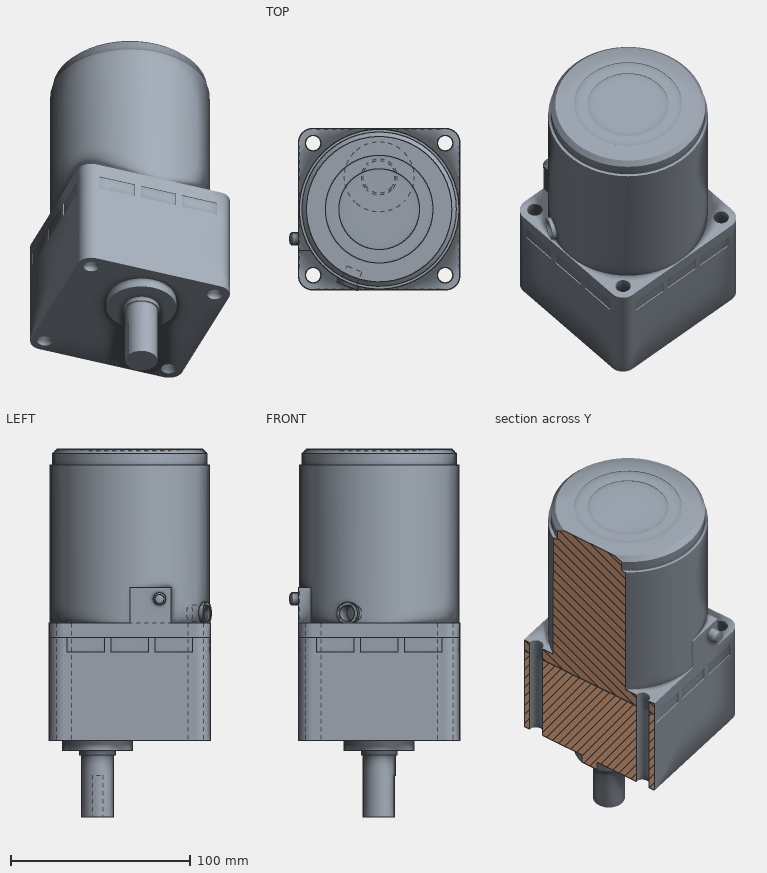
import cadquery as cq
import math

FRAME = 90.0
CORNER_RADIUS = 8.0
HALF_FRAME = FRAME / 2
GEARHEAD_HEIGHT = 57.5

HOLE_DIAMETER = 8.5
HOLE_CIRCLE = 104.0
HOLE_SPACING = HOLE_CIRCLE / math.sqrt(2)

WINDOW_WIDTH = 21.0
WINDOW_HEIGHT = 8.0
WINDOW_DEPTH = 0.5
WINDOW_PITCH = 24.5
WINDOWS_PER_SIDE = 3
SIDES = 4

SHAFT_OFFSET = 18.0
BOSS_DIAMETER = 39.0
BOSS_HEIGHT = 5.5
COLLAR_DIAMETER = 20.0
COLLAR_HEIGHT = 2.5
SHAFT_DIAMETER = 18.0
SHAFT_REACH = 42.5
FLAT_LENGTH = 23.0
FLAT_DEPTH = 0.5

FLANGE_HEIGHT = 8.0
FLANGE_TOP = GEARHEAD_HEIGHT + FLANGE_HEIGHT
CAN_DIAMETER = 89.0
CAN_HEIGHT = 88.0
CAN_TOP = FLANGE_TOP + CAN_HEIGHT
CAP_DIAMETER = 86.0
CAP_HEIGHT = 9.0
CAP_CHAMFER = 2.5
CAP_TOP = CAN_TOP + CAP_HEIGHT
RECESS_DIAMETERS = (60.0, 45.0)
RECESS_STEP = 0.5

BLOCK_WIDTH = 23.0
BLOCK_HEIGHT = 20.0
SCREW_DIAMETER = 7.0
SCREW_LENGTH = 4.92
SCREW_CHAMFER = 1.0
SCREW_DOME_HEIGHT = 0.3
SCREW_Y = -16.5
SCREW_Z = FLANGE_TOP + 13.5

OUTLET_ANGLE = 22.5
OUTLET_FACE = 46.58
OUTLET_DIAMETER = 12.5
OUTLET_BORE = 9.0
OUTLET_BORE_DEPTH = 10.5
OUTLET_Z = FLANGE_TOP + 5.5


def square_plate(bottom, height):
    """Rounded square slab of the frame size with the four screw holes."""
    return (
        cq.Workplane("XY").workplane(offset=bottom)
        .rect(FRAME, FRAME).extrude(height)
        .edges("|Z").fillet(CORNER_RADIUS)
        .faces(">Z").workplane()
        .rect(HOLE_SPACING, HOLE_SPACING, forConstruction=True).vertices()
        .hole(HOLE_DIAMETER)
    )


def disc(diameter, bottom, height, y=0):
    return (
        cq.Workplane("XY").workplane(offset=bottom)
        .center(0, y).circle(diameter / 2).extrude(height)
    )


def cut_windows(body):
    side_windows = (
        cq.Workplane("XZ", origin=(0, -HALF_FRAME, GEARHEAD_HEIGHT - WINDOW_HEIGHT / 2))
        .rarray(WINDOW_PITCH, 1, WINDOWS_PER_SIDE, 1)
        .rect(WINDOW_WIDTH, WINDOW_HEIGHT).extrude(-WINDOW_DEPTH)
    )
    for side in range(SIDES):
        body = body.cut(side_windows.rotate((0, 0, 0), (0, 0, 1), side * 360 / SIDES))
    return body


def make_shaft():
    shaft = disc(SHAFT_DIAMETER, -SHAFT_REACH, SHAFT_REACH, SHAFT_OFFSET)
    flat_x = SHAFT_DIAMETER / 2 - FLAT_DEPTH
    flat = (
        cq.Workplane("XY", origin=(flat_x, SHAFT_OFFSET, -SHAFT_REACH))
        .box(FLAT_DEPTH, SHAFT_DIAMETER, FLAT_LENGTH, centered=(False, True, False))
    )
    return shaft.cut(flat)


def make_gearhead():
    collar_reach = BOSS_HEIGHT + COLLAR_HEIGHT
    body = cut_windows(square_plate(0, GEARHEAD_HEIGHT))
    return (
        body
        .union(disc(BOSS_DIAMETER, -BOSS_HEIGHT, BOSS_HEIGHT, SHAFT_OFFSET))
        .union(disc(COLLAR_DIAMETER, -collar_reach, collar_reach, SHAFT_OFFSET))
        .union(make_shaft())
    )


def make_cap():
    cap = disc(CAP_DIAMETER, CAN_TOP, CAP_HEIGHT).faces(">Z").edges().chamfer(CAP_CHAMFER)
    for step, diameter in enumerate(RECESS_DIAMETERS, start=1):
        depth = step * RECESS_STEP
        cap = cap.cut(disc(diameter, CAP_TOP - depth, depth))
    return cap


def make_screw():
    """Ground screw along X, revolved from its half profile (distance from the block, radius)."""
    radius = SCREW_DIAMETER / 2
    tip_radius = radius - SCREW_CHAMFER
    dome_start = SCREW_LENGTH - SCREW_DOME_HEIGHT
    dome_radius = (tip_radius ** 2 + SCREW_DOME_HEIGHT ** 2) / (2 * SCREW_DOME_HEIGHT)
    dome_center = SCREW_LENGTH - dome_radius
    middle_angle = math.asin(tip_radius / dome_radius) / 2
    dome_middle = (
        dome_center + dome_radius * math.cos(middle_angle),
        dome_radius * math.sin(middle_angle),
    )
    return (
        cq.Workplane("XY")
        .lineTo(0, radius)
        .lineTo(dome_start - SCREW_CHAMFER, radius)
        .lineTo(dome_start, tip_radius)
        .threePointArc(dome_middle, (SCREW_LENGTH, 0))
        .close()
        .revolve(360, (0, 0, 0), (1, 0, 0))
        .rotate((0, 0, 0), (0, 0, 1), 180)
        .translate((-HALF_FRAME, SCREW_Y, SCREW_Z))
    )


def make_terminal_block():
    block = (
        cq.Workplane("XY", origin=(-HALF_FRAME, 0, FLANGE_TOP))
        .box(HALF_FRAME, BLOCK_WIDTH, BLOCK_HEIGHT, centered=False)
        .translate((0, -BLOCK_WIDTH, 0))
    )
    return block.union(make_screw())


def radial_cylinder(diameter, length):
    """Cylinder running inward from the outlet face toward the motor axis."""
    return (
        cq.Workplane("XZ", origin=(0, -OUTLET_FACE, OUTLET_Z))
        .circle(diameter / 2).extrude(-length)
        .rotate((0, 0, 0), (0, 0, 1), -OUTLET_ANGLE)
    )


def make_motor():
    return (
        square_plate(GEARHEAD_HEIGHT, FLANGE_HEIGHT)
        .union(disc(CAN_DIAMETER, FLANGE_TOP, CAN_HEIGHT))
        .union(make_cap())
        .union(make_terminal_block())
        .union(radial_cylinder(OUTLET_DIAMETER, OUTLET_BORE_DEPTH))
        .cut(radial_cylinder(OUTLET_BORE, OUTLET_BORE_DEPTH))
    )


gearhead = make_gearhead()
motor = make_motor()
result = cq.Compound.makeCompound([gearhead.val(), motor.val()])